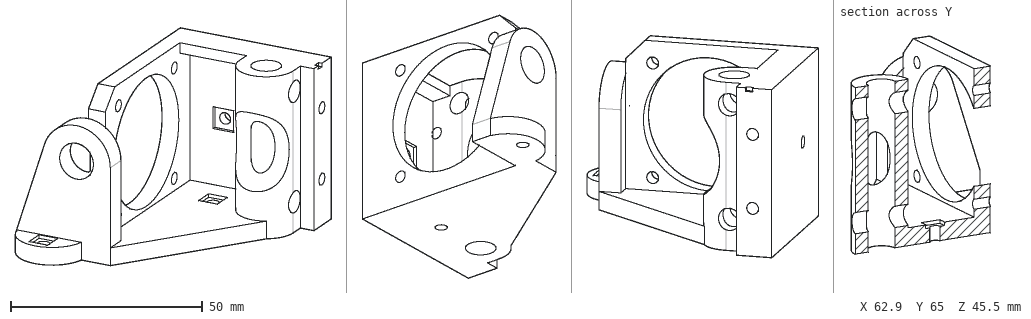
import cadquery as cq
import math


height = 45.5
block_length = 44.8
block_depth = 9.6
plate_thickness = 5.0
wall_depth = 51.05
wall_chamfer = 5.25

back_wall = 3.95
recess_roof = 2.9

boss_radius = 8.0
boss_bore = 8.0
boss_x = block_length - 12.0
boss_y = -block_depth - boss_bore / 2
boss_side_x = boss_x - boss_radius

slant_end_angle = 30

motor_y = -28.2
motor_z = 24.0
motor_bore = 36.0
motor_relief = 25.6
motor_screw_spacing = 31.0
motor_screw_offset = motor_screw_spacing / 2
rear_screw_y = motor_y + motor_screw_offset
front_screw_y = motor_y - motor_screw_offset
screw_hole = 3.2
driver_hole = 6.0

lug_thickness = 6.0
lug_front = wall_depth + lug_thickness
lug_x = -0.3
lug_z = 27.5
lug_radius = 10.0
lug_bore = 10.0
lug_bore_overrun = 1.0
lug_right = lug_x + lug_radius

ear_left = -18.15
ear_radius = 9.7
ear_x = ear_left + ear_radius
overall_depth = 65.0
ear_y = ear_radius - overall_depth

nut_depth = 1.0
floor_nut = 5.5
back_nut = 6.1
floor_nut_position = (16.7, -13.15)
ear_nut_position = (ear_x, -60.2)
back_nut_x = 14.9
back_nut_z = 23.8

side_hole = 3.2
side_hole_y = -5.2
side_hole_z = 23.0
side_hole_spread = 20.0

notch_width = 2.0
notch_depth = 1.0
notch_y = -6.2


def box(x0, x1, y0, y1, z0, z1):
    """Box between two opposite corners."""
    return cq.Workplane("XY").box(x1 - x0, y1 - y0, z1 - z0, centered=False).translate((x0, y0, z0))


def x_cylinder(diameter, x0, x1, y, z):
    """Cylinder parallel to X."""
    return cq.Workplane("YZ", origin=(x0, y, z)).circle(diameter / 2).extrude(x1 - x0)


def y_cylinder(diameter, x, z, y_front, y_back):
    """Cylinder parallel to Y."""
    return cq.Workplane("XZ", origin=(x, y_back, z)).circle(diameter / 2).extrude(y_back - y_front)


def z_cylinder(diameter, x, y, z0, z1):
    """Cylinder parallel to Z."""
    return cq.Workplane("XY", origin=(x, y, z0)).circle(diameter / 2).extrude(z1 - z0)


def motor_wall():
    wall = box(0, plate_thickness, -wall_depth, 0, 0, height)
    return wall.faces("<Y").edges(">Z").chamfer(wall_chamfer)


def back_block():
    block = box(0, block_length, -block_depth, 0, 0, height)
    recess = box(plate_thickness, boss_side_x, -block_depth, -back_wall, plate_thickness, height - recess_roof)
    return block.cut(recess)


def rod_boss():
    web = box(boss_side_x, boss_x + boss_radius, boss_y, -block_depth, 0, height)
    return web.union(z_cylinder(2 * boss_radius, boss_x, boss_y, 0, height))


def floor_plate():
    """Floor whose slanted front edge aims at the front right corner of the back block."""
    slope = (block_length - lug_right) / (lug_front - block_depth)
    slant_end_y = boss_y - boss_radius * math.cos(math.radians(slant_end_angle))
    slant_end_x = block_length - slope * (-slant_end_y - block_depth)
    outline = [
        (0, 0),
        (boss_x, 0),
        (boss_x, boss_y),
        (slant_end_x, slant_end_y),
        (lug_right, -lug_front),
        (0, -lug_front),
    ]
    return cq.Workplane("XY").polyline(outline).close().extrude(plate_thickness)


def pivot_lug():
    """Upright lug: round top, vertical right side and a left side tangent to the round."""
    run = lug_x - ear_left
    rise = lug_z - plate_thickness
    center_angle = math.atan2(rise, run)
    tangent_angle = center_angle + math.asin(lug_radius / math.hypot(run, rise)) + math.pi / 2
    tangent_x = lug_x + lug_radius * math.cos(tangent_angle)
    tangent_z = lug_z + lug_radius * math.sin(tangent_angle)
    return (
        cq.Workplane("XZ", origin=(0, -wall_depth, 0))
        .moveTo(ear_left, 0)
        .lineTo(lug_right, 0)
        .lineTo(lug_right, lug_z)
        .threePointArc((lug_x, lug_z + lug_radius), (tangent_x, tangent_z))
        .lineTo(ear_left, plate_thickness)
        .close()
        .extrude(lug_thickness)
    )


def mounting_ear():
    base = box(ear_left, ear_left + 2 * ear_radius, ear_y, -wall_depth, 0, plate_thickness)
    rounded = base.union(z_cylinder(2 * ear_radius, ear_x, ear_y, 0, plate_thickness))
    behind_lug = box(ear_left, ear_left + 2 * ear_radius, -wall_depth, 0, 0, plate_thickness)
    return rounded.cut(behind_lug)


def floor_nut_cut(x, y):
    half = floor_nut / 2
    pocket = box(x - half, x + half, y - half, y + half, plate_thickness - nut_depth, plate_thickness)
    return pocket.union(z_cylinder(screw_hole, x, y, 0, plate_thickness))


def back_nut_cut():
    half = back_nut / 2
    pocket = box(
        back_nut_x - half, back_nut_x + half,
        -back_wall, nut_depth - back_wall,
        back_nut_z - half, back_nut_z + half,
    )
    return pocket.union(y_cylinder(screw_hole, back_nut_x, back_nut_z, -back_wall, 0))


result = back_block()
for piece in (motor_wall(), rod_boss(), floor_plate(), pivot_lug(), mounting_ear()):
    result = result.union(piece)

result = result.cut(z_cylinder(boss_bore, boss_x, boss_y, 0, height))
result = result.cut(x_cylinder(motor_relief, boss_side_x, block_length, motor_y, motor_z))

result = result.cut(x_cylinder(motor_bore, 0, plate_thickness, motor_y, motor_z))
for side in (-1, 1):
    screw_z = motor_z + side * motor_screw_offset
    for screw_y in (front_screw_y, rear_screw_y):
        result = result.cut(x_cylinder(screw_hole, 0, plate_thickness, screw_y, screw_z))
    result = result.cut(x_cylinder(driver_hole, boss_side_x, block_length, rear_screw_y, screw_z))
    hole_z = side_hole_z + side * side_hole_spread / 2
    result = result.cut(x_cylinder(side_hole, boss_side_x, block_length, side_hole_y, hole_z))

result = result.cut(y_cylinder(lug_bore, lug_x, lug_z, -lug_front, lug_bore_overrun - wall_depth))

for nut_x, nut_y in (floor_nut_position, ear_nut_position):
    result = result.cut(floor_nut_cut(nut_x, nut_y))
result = result.cut(back_nut_cut())

result = result.cut(
    box(
        block_length - notch_depth, block_length,
        notch_y - notch_width / 2, notch_y + notch_width / 2,
        height - notch_depth, height,
    )
)